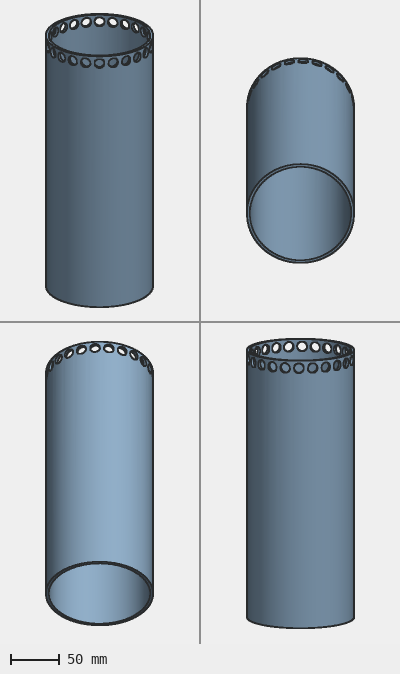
import cadquery as cq

height = 280.0
outer_diameter = 110.0
inner_diameter = 104.0

hole_count = 24
hole_diameter = 10.0
hole_depth_below_rim = 7.8


def make_tube():
    return (
        cq.Workplane("XY")
        .circle(outer_diameter / 2)
        .circle(inner_diameter / 2)
        .extrude(height)
    )


def radial_hole(angle):
    """Cutter running from the tube axis out through the wall at the given angle."""
    return (
        cq.Workplane("YZ")
        .center(0, height - hole_depth_below_rim)
        .circle(hole_diameter / 2)
        .extrude(outer_diameter)
        .rotate((0, 0, 0), (0, 0, 1), angle)
    )


result = make_tube()
for index in range(hole_count):
    result = result.cut(radial_hole(index * 360 / hole_count))